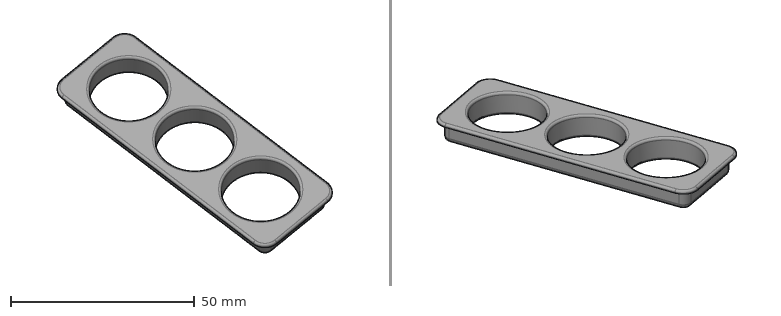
import cadquery as cq

length = 81.5
width = 29.0
height = 7.0

flange_thickness = 1.0
flange_overhang = 2.1
edge_fillet = 0.7

body_length = length - 2 * flange_overhang
body_width = width - 2 * flange_overhang
body_corner_radius = 2.4
flange_corner_radius = body_corner_radius + flange_overhang
bottom_fillet = 1.5

hole_diameter = 21.5
hole_pitch = 25.0
hole_count = 3


def make_body():
    """Block with rounded corners and a rounded bottom edge, standing on Z = 0."""
    block = cq.Workplane("XY").rect(body_length, body_width).extrude(height)
    return block.edges("|Z").fillet(body_corner_radius).faces("<Z").edges().fillet(bottom_fillet)


def make_flange():
    """Rounded plate with a rounded top edge, flush with the top of the body."""
    plate = (
        cq.Workplane("XY")
        .workplane(offset=height - flange_thickness)
        .rect(length, width)
        .extrude(flange_thickness)
    )
    return plate.edges("|Z").fillet(flange_corner_radius).faces(">Z").edges().fillet(edge_fillet)


def make_hole_cutter():
    """Through hole whose rims at the top and bottom faces are rounded outwards."""
    hole_radius = hole_diameter / 2
    rim_radius = hole_radius + edge_fillet
    return (
        cq.Workplane("XZ")
        .lineTo(rim_radius, 0)
        .radiusArc((hole_radius, edge_fillet), edge_fillet)
        .lineTo(hole_radius, height - edge_fillet)
        .radiusArc((rim_radius, height), edge_fillet)
        .lineTo(0, height)
        .close()
        .revolve(360, (0, 0, 0), (0, 1, 0))
    )


result = make_body().union(make_flange())
for index in range(hole_count):
    hole_x = (index - (hole_count - 1) / 2) * hole_pitch
    result = result.cut(make_hole_cutter().translate((hole_x, 0, 0)))